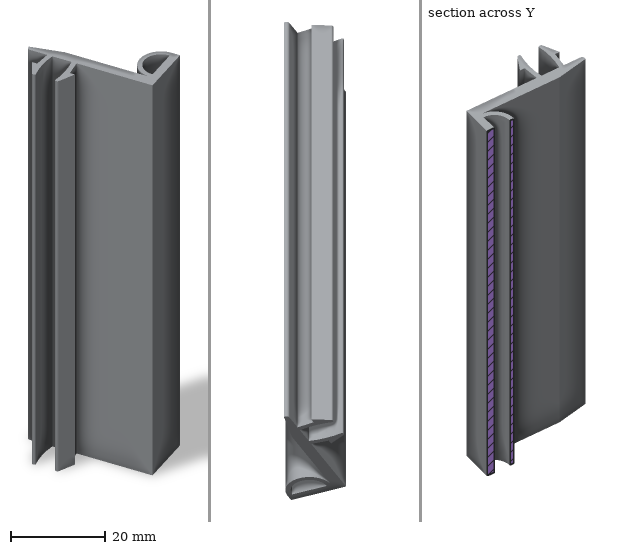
import cadquery as cq

length = 100.0
width = 30.0

plate_thickness = 2.6
taper_length = 7.8
nose_height = 1.0
nose_radius = 0.7

wall_thickness = 1.9
wall_top = 12.8
bulb_wall = 1.1
bulb_radius = (wall_top - plate_thickness) / 2
bore_radius = bulb_radius - bulb_wall
bulb_x = width - wall_thickness
bulb_y = plate_thickness + bulb_radius

clip_x = 8.4
leg_depth = 7.9
root_inner = 2.3
root_outer = 3.5
waist_inner = 2.7
waist_outer = 3.9
barb_reach = 5.1
barb_depth = 3.9
tip_inner = 2.3
tip_outer = 3.2
tip_chamfer = 0.2
root_overlap = 0.5


def extrude_outline(outline):
    return outline.close().extrude(length)


def make_plate():
    """Tapered plate with its lower nose edge rounded."""
    plate = extrude_outline(
        cq.Workplane("XY")
        .moveTo(0, 0)
        .lineTo(width, 0)
        .lineTo(width, plate_thickness)
        .lineTo(taper_length, plate_thickness)
        .lineTo(0, nose_height)
    )
    return plate.faces("<X").edges("|Z").edges("<Y").fillet(nose_radius)


def make_wall():
    return extrude_outline(
        cq.Workplane("XY")
        .moveTo(bulb_x, 0)
        .lineTo(width, 0)
        .lineTo(width, wall_top)
        .lineTo(bulb_x, wall_top)
    )


def half_cylinder(radius):
    """Half cylinder bulging toward -X from the inner face of the wall."""
    return extrude_outline(
        cq.Workplane("XY")
        .moveTo(bulb_x, bulb_y + radius)
        .threePointArc((bulb_x - radius, bulb_y), (bulb_x, bulb_y - radius))
    )


def make_leg(side):
    """Snap leg on one side of the clip centre; side is -1 or +1."""

    def at(offset, depth):
        return (clip_x + side * offset, -depth)

    return extrude_outline(
        cq.Workplane("XY")
        .moveTo(*at(root_inner, -root_overlap))
        .lineTo(*at(root_inner, 0))
        .threePointArc(at(waist_inner, leg_depth / 2), at(tip_inner, leg_depth - tip_chamfer))
        .lineTo(*at(tip_inner + tip_chamfer, leg_depth))
        .lineTo(*at(tip_outer - tip_chamfer, leg_depth))
        .lineTo(*at(tip_outer, leg_depth - tip_chamfer))
        .lineTo(*at(barb_reach, barb_depth))
        .lineTo(*at(waist_outer, barb_depth))
        .lineTo(*at(root_outer, 0))
        .lineTo(*at(root_outer, -root_overlap))
    )


result = make_plate().union(make_wall()).union(half_cylinder(bulb_radius))
result = result.cut(half_cylinder(bore_radius))
for leg_side in (-1, 1):
    result = result.union(make_leg(leg_side))